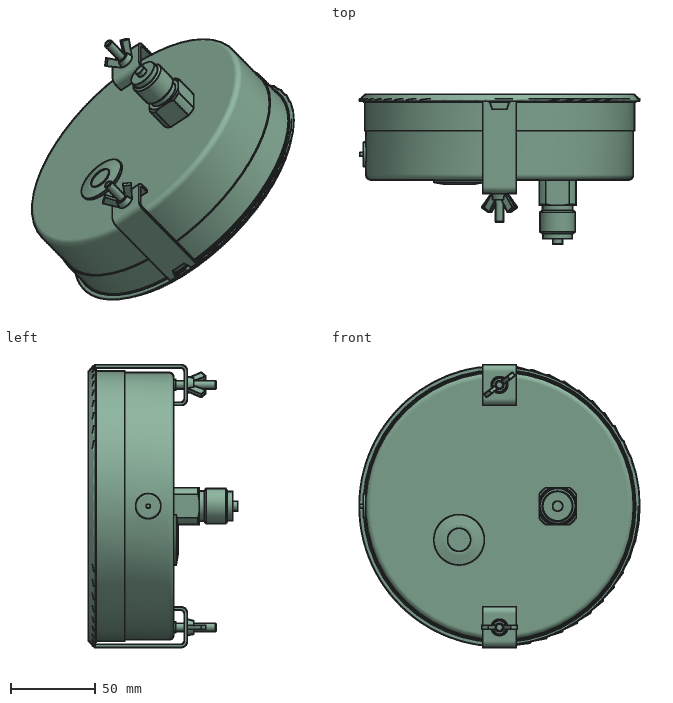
import cadquery as cq


bezel_front_dia = 159.6
bezel_dia = 166.75
bead_radius = 0.85
bead_depth = 3.4
bezel_step_dia = 161.8
bezel_step_depth = 4.9
bezel_sleeve_dia = 160.6
bezel_sleeve_depth = 21.8
case_dia = 159.0
case_depth = 50.96
case_rear_radius = 3.2

connection_x = 34.5
square_size = 22.0
square_corner_dia = 26.0
square_length = 15.0
square_depth = case_depth + square_length
square_chamfer_length = 0.7
square_chamfer_width = 1.5
neck_dia = 18.0
thread_dia = 20.96
neck_length = 3.0
thread_start = square_depth + neck_length
thread_length = 13.8
thread_end = thread_start + thread_length
thread_chamfer_length = 1.1
spigot_dia = 17.5
shank_length = 20.0
spigot_depth = square_depth + shank_length
tip_dia = 6.0
tip_length = 3.0
tip_depth = spigot_depth + tip_length

disc_x = -24.0
disc_z = -20.0
disc_dia = 30.0
disc_rim_height = 1.4
disc_height = 2.5
disc_crown_dia = 17.5
disc_recess_dia = 13.7
disc_recess = 0.5

plug_depth = 35.7
plug_dia = 15.0
plug_face_x = 81.0
plug_edge_radius = 1.2
plug_embedment = 3.0
plug_root_x = case_dia / 2 - plug_embedment
pin_dia = 2.5
pin_end_x = 83.1
pin_edge_radius = 0.8

bracket_reach = 84.0
bracket_width = 20.0
bracket_height = 24.25
sheet = 2.0
bend_radius = 4.0
bracket_front = 4.1
bracket_rear = 59.0
notch_end = 9.0
notch_mouth_width = 12.0
notch_end_width = 8.6

stud_z = 72.0
stud_dia = 5.0
stud_end = 76.0
stud_chamfer = 0.5
stud_foot_dia = 6.5
stud_foot_height = 1.0
hub_base_radius = 4.9
hub_top_radius = 4.0
hub_height = 3.8
wing_thickness = 2.5
wing_tip_radius = 10.65
wing_tip_height = 8.2
wing_end_radius = 6.8
wing_end_height = 11.0
top_nut_angle = 37.5
bottom_nut_angle = 0.0


def turned(points, x=0.0, z=0.0):
    """Revolve a closed outline of (radius, depth) points about a Y-parallel axis through (x, z)."""
    outline = cq.Workplane("XY").polyline([(r, -depth) for r, depth in points]).close()
    return outline.revolve(360, (0, 0, 0), (0, 1, 0)).translate((x, 0, z))


def rod(diameter, start, end, x=0.0, z=0.0):
    """Cylinder parallel to Y between two depths."""
    sketch = cq.Workplane("XZ", origin=(x, -start, z)).circle(diameter / 2)
    return sketch.extrude(end - start)


def make_case():
    """Drum with a rounded rear edge, closed by a bezel with a conical front and a rolled bead."""
    bead_center = bezel_dia / 2 - bead_radius
    bead_front = bead_depth - bead_radius
    bead_rear = bead_depth + bead_radius
    sleeve_radius = bezel_sleeve_dia / 2
    bezel = (
        cq.Workplane("XY")
        .lineTo(bezel_front_dia / 2, 0)
        .lineTo(bead_center, -bead_front)
        .threePointArc((bezel_dia / 2, -bead_depth), (bead_center, -bead_rear))
        .lineTo(bezel_step_dia / 2, -bead_rear)
        .lineTo(bezel_step_dia / 2, -bezel_step_depth)
        .lineTo(sleeve_radius, -bezel_step_depth)
        .lineTo(sleeve_radius, -bezel_sleeve_depth)
        .lineTo(0, -bezel_sleeve_depth)
        .close()
        .revolve(360, (0, 0, 0), (0, 1, 0))
    )
    drum = rod(case_dia, bead_rear, case_depth).faces("<Y").edges().fillet(case_rear_radius)
    return bezel.union(drum)


def make_connection():
    """Square with turned, chamfered corners, then neck, thread body, spigot and tip."""
    corner_radius = square_corner_dia / 2
    corner_outline = [
        (0, case_depth),
        (corner_radius, case_depth),
        (corner_radius, square_depth - square_chamfer_length),
        (corner_radius - square_chamfer_width, square_depth),
        (0, square_depth),
    ]
    square = (
        cq.Workplane("XZ", origin=(connection_x, -case_depth, 0))
        .rect(square_size, square_size)
        .extrude(square_length)
        .intersect(turned(corner_outline, connection_x))
    )
    thread_outline = [
        (0, thread_start),
        (neck_dia / 2, thread_start),
        (thread_dia / 2, thread_start + thread_chamfer_length),
        (thread_dia / 2, thread_end - thread_chamfer_length),
        (neck_dia / 2, thread_end),
        (0, thread_end),
    ]
    thread = turned(thread_outline, connection_x)
    neck = rod(neck_dia, square_depth, thread_start, connection_x)
    spigot = rod(spigot_dia, thread_end, spigot_depth, connection_x)
    tip = rod(tip_dia, spigot_depth, tip_depth, connection_x)
    return square.union(neck).union(thread).union(spigot).union(tip)


def make_blow_out_disc():
    """Flat-rimmed cone with a shallow round recess in its crown."""
    crown_depth = case_depth + disc_height
    floor_depth = crown_depth - disc_recess
    outline = [
        (0, case_depth),
        (disc_dia / 2, case_depth),
        (disc_dia / 2, case_depth + disc_rim_height),
        (disc_crown_dia / 2, crown_depth),
        (disc_recess_dia / 2, crown_depth),
        (disc_recess_dia / 2, floor_depth),
        (0, floor_depth),
    ]
    return turned(outline, disc_x, disc_z)


def make_vent_plug():
    """Round-edged disc with a small round-ended centre pin, pointing along -X."""
    root = cq.Workplane("YZ", origin=(-plug_root_x, -plug_depth, 0))
    plug = root.circle(plug_dia / 2).extrude(plug_root_x - plug_face_x)
    plug = plug.faces("<X").edges().fillet(plug_edge_radius)
    pin = root.circle(pin_dia / 2).extrude(plug_root_x - pin_end_x)
    pin = pin.faces("<X").edges().fillet(pin_edge_radius)
    return plug.union(pin)


def make_bracket():
    """Bent strip over the top of the case, with an open trapezoidal notch at its front end."""
    inner_z = bracket_reach - bracket_height
    inner_bend = bend_radius - sheet

    def channel(rear, low, high, radius):
        """Block across the strip whose two rear edges are rounded."""
        size_y = rear - bracket_front
        block = cq.Workplane("XY").box(bracket_width, size_y, high - low)
        block = block.translate((0, -(bracket_front + rear) / 2, (low + high) / 2))
        return block.faces("<Y").edges("|X").fillet(radius)

    outside = channel(bracket_rear, inner_z, bracket_reach, bend_radius)
    inside = channel(bracket_rear - sheet, inner_z + sheet, bracket_reach - sheet, inner_bend)
    lip_clearance = (
        cq.Workplane("XY", origin=(0, -bracket_front, inner_z))
        .rect(bracket_width, 2 * (case_depth - bracket_front))
        .extrude(bracket_height - sheet)
    )
    notch = (
        cq.Workplane("XY", origin=(0, 0, bracket_reach - sheet))
        .polyline([
            (-notch_mouth_width / 2, -bracket_front),
            (notch_mouth_width / 2, -bracket_front),
            (notch_end_width / 2, -notch_end),
            (-notch_end_width / 2, -notch_end),
        ])
        .close()
        .extrude(sheet)
    )
    return outside.cut(inside).cut(lip_clearance).cut(notch)


def make_stud():
    """Stud on the case rear with a wider foot and a chamfered end."""
    foot = rod(stud_foot_dia, case_depth, case_depth + stud_foot_height, 0, stud_z)
    shank = rod(stud_dia, case_depth, stud_end, 0, stud_z)
    return foot.union(shank.faces("<Y").edges().chamfer(stud_chamfer))


def make_wing_nut(angle):
    """Conical hub with two opposite wings, turned by an angle about the stud axis."""
    base = bracket_rear
    top = base + hub_height
    nut = turned([(0, base), (hub_base_radius, base), (hub_top_radius, top), (0, top)])
    for side in (-1, 1):
        wing = (
            cq.Workplane("XY", origin=(0, 0, -wing_thickness / 2))
            .moveTo(0, -base)
            .lineTo(side * hub_base_radius, -base)
            .lineTo(side * wing_tip_radius, -(base + wing_tip_height))
            .lineTo(side * wing_end_radius, -(base + wing_end_height))
            .lineTo(side * stud_dia / 2, -top)
            .lineTo(0, -top)
            .close()
            .extrude(wing_thickness)
        )
        nut = nut.union(wing)
    return nut.rotate((0, 0, 0), (0, 1, 0), -angle).translate((0, 0, stud_z))


def make_mount(nut_angle):
    """Complete upper mount: bracket, stud and wing nut."""
    return make_bracket().union(make_stud()).union(make_wing_nut(nut_angle))


top_mount = make_mount(top_nut_angle)
bottom_mount = make_mount(bottom_nut_angle).mirror("XY")

result = (
    make_case()
    .union(make_connection())
    .union(make_blow_out_disc())
    .union(make_vent_plug())
    .union(top_mount)
    .union(bottom_mount)
)